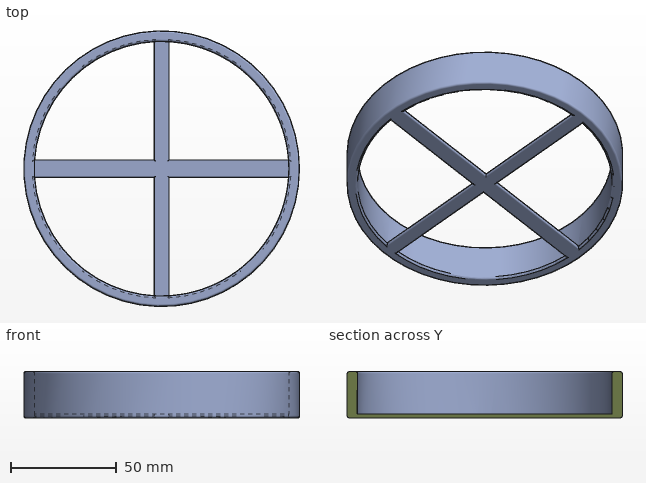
import cadquery as cq

outer_diameter = 130.5
inner_diameter = 120.5
height = 22.0
edge_radius = 1.0

x_bar_width = 8.4
y_bar_width = 7.0
bar_thickness = 2.0
bar_edge_radius = 0.72


def make_ring():
    ring = cq.Workplane("XY").circle(outer_diameter / 2).circle(inner_diameter / 2).extrude(height)
    return ring.edges("%CIRCLE").fillet(edge_radius)


def make_cross():
    length = (outer_diameter + inner_diameter) / 2
    x_bar = cq.Workplane("XY").box(length, x_bar_width, bar_thickness, centered=(True, True, False))
    y_bar = cq.Workplane("XY").box(y_bar_width, length, bar_thickness, centered=(True, True, False))
    return x_bar.union(y_bar).faces("<Z or >Z").edges().fillet(bar_edge_radius)


result = make_ring().union(make_cross())